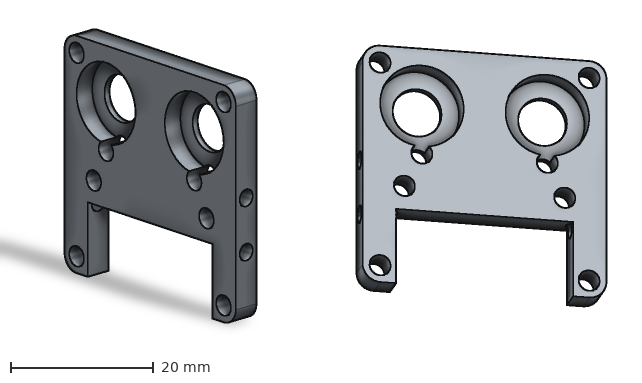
import cadquery as cq
import math

side = 35.0
thickness = 4.0
corner_radius = 2.5

notch_width = 25.4
notch_top = -6.5

hole_diameter = 3.0
corner_hole_offset = side / 2 - corner_radius
lower_hole_x = 11.5
lower_hole_z = -3.0

bore_x = 9.0
bore_z = 9.0
bore_diameter = 7.0
counterbore_diameter = 12.0
counterbore_depth = 3.0
small_hole_z = bore_z - bore_diameter

edge_hole_diameter = 2.5
edge_hole_depth = 5.0
edge_hole_heights = (1.0, -7.0)
drill_point_angle = 118.0


def make_plate():
    plate = cq.Workplane("XY").box(side, thickness, side, centered=(True, False, True))
    plate = plate.edges("|Y").fillet(corner_radius)
    notch_height = notch_top + side / 2
    notch = cq.Workplane("XY").box(notch_width, thickness, notch_height, centered=(True, False, False))
    return plate.cut(notch.translate((0, 0, -side / 2)))


def front_holes(points, diameter, depth):
    """Cylinders reaching from the front face into the plate at the given (x, z) points."""
    return cq.Workplane("XZ").pushPoints(points).circle(diameter / 2).extrude(-depth)


def mirrored_pair(x, z):
    return [(-x, z), (x, z)]


def edge_drill(direction, height):
    """Drill with a conical point, entering one edge; direction is +1 from the left, -1 from the right."""
    radius = edge_hole_diameter / 2
    point_length = radius / math.tan(math.radians(drill_point_angle / 2))
    profile = (
        cq.Workplane("XY")
        .moveTo(0, 0)
        .lineTo(0, radius)
        .lineTo(direction * edge_hole_depth, radius)
        .lineTo(direction * (edge_hole_depth + point_length), 0)
        .close()
    )
    drill = profile.revolve(360, (0, 0, 0), (1, 0, 0))
    return drill.translate((-direction * side / 2, thickness / 2, height))


corner_holes = (
    mirrored_pair(corner_hole_offset, corner_hole_offset)
    + mirrored_pair(corner_hole_offset, -corner_hole_offset)
)
small_holes = mirrored_pair(bore_x, small_hole_z) + mirrored_pair(lower_hole_x, lower_hole_z)
bores = mirrored_pair(bore_x, bore_z)

result = make_plate()
result = result.cut(front_holes(corner_holes + small_holes, hole_diameter, thickness))
result = result.cut(front_holes(bores, bore_diameter, thickness))
result = result.cut(front_holes(bores, counterbore_diameter, counterbore_depth))
for drill_direction in (1, -1):
    for drill_height in edge_hole_heights:
        result = result.cut(edge_drill(drill_direction, drill_height))